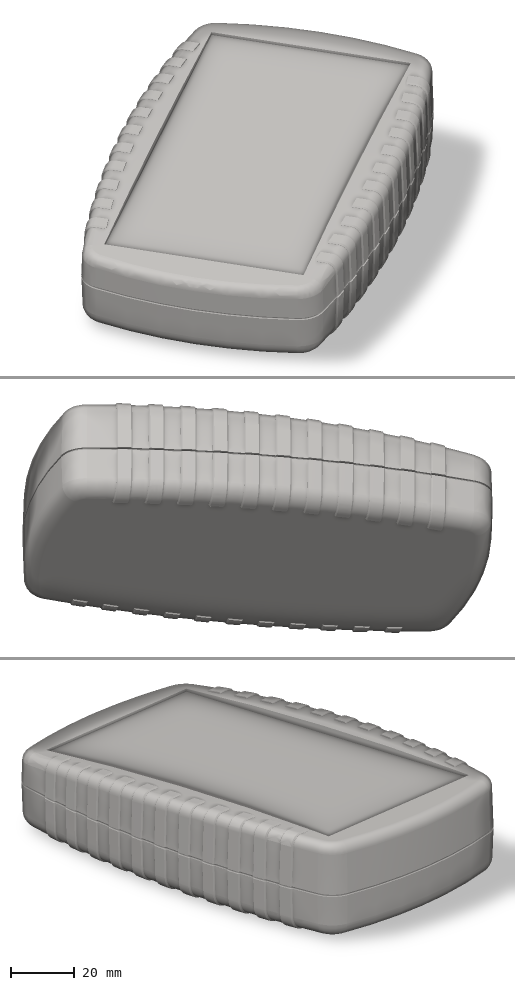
import cadquery as cq
import math

LENGTH = 145.0
WIDTH = 91.0
HEIGHT = 33.0

RIB_COUNT = 11
RIB_PITCH = 10.0
RIB_WIDTH = 5.0
RIB_HEIGHT = 0.51
RIB_BEVEL = 0.5
RIB_REACH = 7.0

HALF_LENGTH = LENGTH / 2
HALF_WIDTH = WIDTH / 2 - RIB_HEIGHT
CORNER_X = 38.4
CORNER_Y = 67.1
CORNER_RADIUS = 8.7
WALL_DRAFT = 2.0

GROOVE_HEIGHT = 0.7
GROOVE_DEPTH = 0.7
LOWER_HEIGHT = 14.6
UPPER_HEIGHT = HEIGHT - 2 * RIB_HEIGHT - GROOVE_HEIGHT - LOWER_HEIGHT
LOWER_EDGE_RADIUS = 5.0
UPPER_EDGE_RADIUS = 3.3

SLOPE_START_Y = 54.4
SLOPE_RADIUS = 1096.2

RECESS_WIDTH = 65.0
RECESS_LENGTH = 120.0
RECESS_DEPTH = 1.0

CUT_MARGIN = 7.2
TOLERANCE = 0.001


def outline(growth):
    """Case outline, moved outward by the given growth, ready to extrude."""
    sketch = (
        cq.Sketch()
        .arc((CORNER_X, -CORNER_Y), (HALF_WIDTH, 0), (CORNER_X, CORNER_Y))
        .arc((CORNER_X, CORNER_Y), (0, HALF_LENGTH), (-CORNER_X, CORNER_Y))
        .arc((-CORNER_X, CORNER_Y), (-HALF_WIDTH, 0), (-CORNER_X, -CORNER_Y))
        .arc((-CORNER_X, -CORNER_Y), (0, -HALF_LENGTH), (CORNER_X, -CORNER_Y))
        .assemble()
        .vertices()
        .fillet(CORNER_RADIUS)
    )
    wires = cq.Workplane().add(sketch._faces.Faces()[0].outerWire()).toPending()
    return wires.offset2D(growth) if growth else wires


def surface_drop(y):
    """How far the top surface has dropped at the given Y."""
    run = max(SLOPE_START_Y - y, 0)
    return SLOPE_RADIUS - math.sqrt(SLOPE_RADIUS**2 - run**2)


def below_top(growth):
    """Everything under the sloping top surface, down to the upper half's rim."""
    end_y = HALF_LENGTH + CUT_MARGIN
    top_z = GROOVE_HEIGHT + UPPER_HEIGHT + growth
    mid_y = (SLOPE_START_Y - end_y) / 2
    return (
        cq.Workplane("YZ")
        .moveTo(end_y, GROOVE_HEIGHT)
        .lineTo(end_y, top_z)
        .lineTo(SLOPE_START_Y, top_z)
        .threePointArc((mid_y, top_z - surface_drop(mid_y)), (-end_y, top_z - surface_drop(-end_y)))
        .lineTo(-end_y, GROOVE_HEIGHT)
        .close()
        .extrude(HALF_WIDTH + CUT_MARGIN, both=True)
    )


def upper_block(growth):
    """Upper half without ribs or recess, grown outward and upward."""
    walls = outline(growth).extrude(UPPER_HEIGHT + CUT_MARGIN, taper=WALL_DRAFT)
    block = walls.translate((0, 0, GROOVE_HEIGHT)).intersect(below_top(growth))
    lowest_rim_center = GROOVE_HEIGHT + UPPER_HEIGHT / 2
    rim = [
        edge
        for edge in block.edges("not |X").vals()
        if edge.Center().z > lowest_rim_center
    ]
    return block.newObject(rim).fillet(UPPER_EDGE_RADIUS + growth)


def lower_block(growth):
    """Lower half without ribs, grown outward and downward."""
    block = outline(growth).extrude(-(LOWER_HEIGHT + growth), taper=WALL_DRAFT)
    return block.faces("<Z").edges().fillet(LOWER_EDGE_RADIUS + growth)


def rib_zone():
    """Full-height ring in which ribs may stand out of the case."""
    height = 2 * (LOWER_HEIGHT + UPPER_HEIGHT)
    ring = outline(CUT_MARGIN).extrude(height, both=True)
    return ring.cut(outline(-RIB_REACH).extrude(height, both=True))


def side_ribs(grown_side):
    """Square-edged grip ribs of one long side, sliced out of the grown case, as a list of solids."""
    rib_band = grown_side.intersect(rib_zone())
    solids = []
    for index in range(RIB_COUNT):
        y = (index - (RIB_COUNT - 1) / 2) * RIB_PITCH
        slab = cq.Workplane().box(2 * WIDTH, RIB_WIDTH, 4 * HEIGHT).translate((0, y, 0))
        solids.append(rib_band.intersect(slab).val())
    return solids


def bevel_ribs(side, grown_side):
    """Bevel the long outer edges of the ribs: flank edges on the grown surface, off the groove rims."""
    grown_surface = grown_side.val().Shells()[0]
    outer_edges = []
    for edge in cq.Workplane(side).faces("|Y").edges("not |Z").vals():
        middle = edge.positionAt(0.5)
        on_surface = grown_surface.distance(cq.Vertex.makeVertex(*middle.toTuple())) < TOLERANCE
        on_rim = min(abs(middle.z), abs(middle.z - GROOVE_HEIGHT)) < TOLERANCE
        if on_surface and not on_rim:
            outer_edges.append(edge)
    return side.chamfer(RIB_BEVEL, None, outer_edges)


def add_ribs(case, grown_case):
    """Join grip ribs to the +X side of the case and mirror that side to complete it."""
    plus_x = cq.Workplane().box(WIDTH, 2 * LENGTH, 4 * HEIGHT).translate((WIDTH / 2, 0, 0))
    grown_side = grown_case.intersect(plus_x)
    ribbed_side = case.intersect(plus_x).val().fuse(*side_ribs(grown_side))
    side = bevel_ribs(ribbed_side, grown_side)
    return cq.Workplane(side).union(cq.Workplane(side.mirror("YZ")))


def recess():
    """Cutter for the rectangular recess with its tilted flat floor."""
    end_y = RECESS_LENGTH / 2
    floor_z = GROOVE_HEIGHT + UPPER_HEIGHT - RECESS_DEPTH
    above_z = GROOVE_HEIGHT + UPPER_HEIGHT + CUT_MARGIN
    return (
        cq.Workplane("YZ")
        .moveTo(end_y, floor_z - surface_drop(end_y))
        .lineTo(end_y, above_z)
        .lineTo(-end_y, above_z)
        .lineTo(-end_y, floor_z - surface_drop(-end_y))
        .close()
        .extrude(RECESS_WIDTH / 2, both=True)
    )


def make_upper_half():
    return add_ribs(upper_block(0), upper_block(RIB_HEIGHT)).cut(recess())


def make_lower_half():
    """Lower half, with a set-back collar that fills the parting groove and carries the upper half."""
    collar = outline(-GROOVE_DEPTH).extrude(GROOVE_HEIGHT)
    return add_ribs(lower_block(0), lower_block(RIB_HEIGHT)).union(collar)


upper_half = make_upper_half()
lower_half = make_lower_half()

result = cq.Compound.makeCompound([upper_half.val(), lower_half.val()])